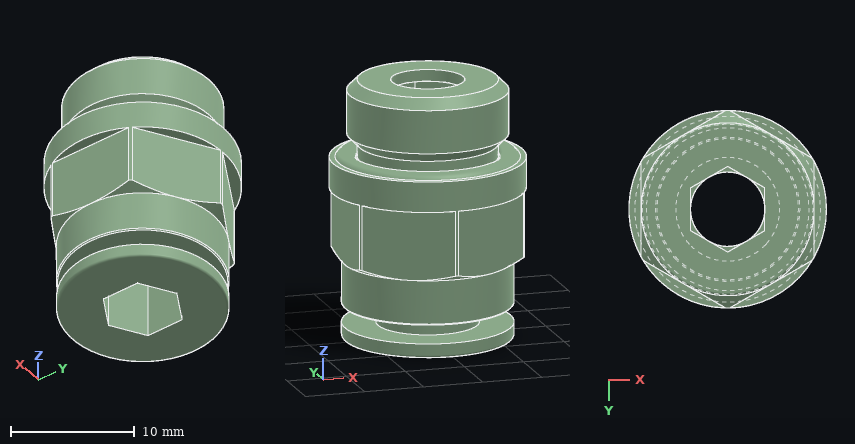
import cadquery as cq
import math

total_height = 21.5
collet_disc_top = 1.2
body_bottom = 2.75
hex_bottom = 6.5
flange_bottom = 12.5
flange_top = 15.05
thread_bottom = 17.03

body_diameter = 14.0
collet_neck_diameter = 8.4
flange_diameter = 16.0
thread_diameter = 13.15
thread_neck_diameter = 11.44
bore_diameter = 6.0

hex_across_flats = body_diameter
socket_across_flats = bore_diameter
socket_depth_below_top = 0.99
hex_chamfer_angle = 30.0

seal_outer_diameter = 15.26
seal_top = 15.55

thread_chamfer = (thread_diameter - thread_neck_diameter) / 2
disc_fillet = 0.22
body_chamfer = 0.1


def cylinder(diameter, bottom, top):
    return cq.Workplane("XY").workplane(offset=bottom).circle(diameter / 2).extrude(top - bottom)


def hexagon(across_flats, bottom, top):
    """Hexagonal prism with two corners on the Y axis."""
    corner_diameter = across_flats / math.cos(math.radians(30))
    prism = cq.Workplane("XY").workplane(offset=bottom).polygon(6, corner_diameter).extrude(top - bottom)
    return prism.rotate((0, 0, 0), (0, 0, 1), 30)


def make_collet():
    disc = cylinder(body_diameter, 0, collet_disc_top).faces("<Z").edges().fillet(disc_fillet)
    return disc.union(cylinder(collet_neck_diameter, 0, body_bottom))


def make_hex_section():
    """Hexagon with corners turned to the flange diameter and chamfered at the lower end."""
    flat_radius = hex_across_flats / 2
    corner_radius = flange_diameter / 2
    chamfer_height = (corner_radius - flat_radius) * math.tan(math.radians(hex_chamfer_angle))
    turned_envelope = (
        cq.Workplane("XZ")
        .moveTo(0, hex_bottom)
        .lineTo(flat_radius, hex_bottom)
        .lineTo(corner_radius, hex_bottom + chamfer_height)
        .lineTo(corner_radius, flange_bottom)
        .lineTo(0, flange_bottom)
        .close()
        .revolve(360, (0, 0, 0), (0, 1, 0))
    )
    return hexagon(hex_across_flats, hex_bottom, flange_bottom).intersect(turned_envelope)


def make_thread():
    thread = cylinder(thread_diameter, thread_bottom - thread_chamfer, total_height)
    return thread.edges().chamfer(thread_chamfer)


def make_seal():
    seal_radius = (seal_outer_diameter - thread_neck_diameter) / 4
    centre_radius = (seal_outer_diameter + thread_neck_diameter) / 4
    return (
        cq.Workplane("XZ")
        .center(centre_radius, seal_top - seal_radius)
        .circle(seal_radius)
        .revolve(360, (-centre_radius, 0, 0), (-centre_radius, 1, 0))
    )


body = cylinder(body_diameter, body_bottom, hex_bottom).faces("<Z").edges().chamfer(body_chamfer)
flange = cylinder(flange_diameter, flange_bottom, flange_top)
thread_neck = cylinder(thread_neck_diameter, flange_top, thread_bottom)

result = (
    make_collet()
    .union(body)
    .union(make_hex_section())
    .union(flange)
    .union(make_seal())
    .union(thread_neck)
    .union(make_thread())
)

result = result.cut(cylinder(bore_diameter, 0, total_height))
result = result.cut(hexagon(socket_across_flats, 0, total_height - socket_depth_below_top))